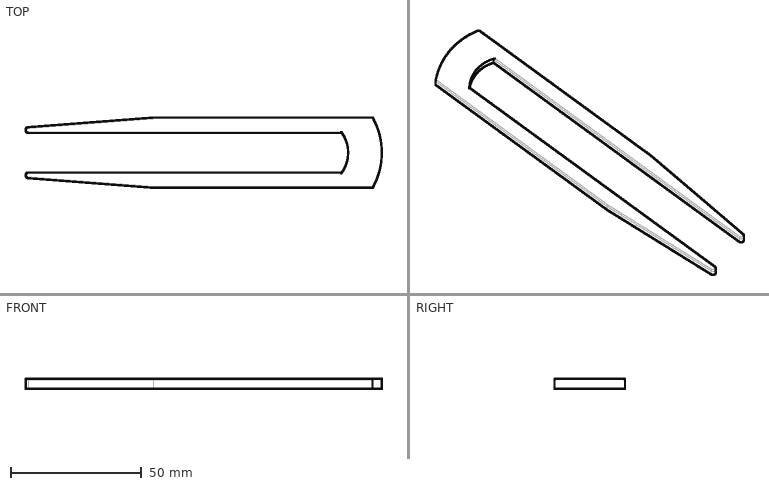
import cadquery as cq

length = 136.2
width = 27.0
thickness = 4.0

slot_width = 15.0
tip_width = 2.3
tip_round_length = 1.1
taper_length = 48.9

bridge_thickness = 13.0
outer_arc_rise = 3.5
inner_arc_rise = 2.3

edge_radius = 0.5

half_width = width / 2
half_slot = slot_width / 2
tip_outer_y = half_slot + tip_width
tip_middle_y = half_slot + tip_width / 2
outer_corner_x = length - outer_arc_rise
slot_end_x = length - bridge_thickness
inner_corner_x = slot_end_x - inner_arc_rise


def fork_blank():
    """Flat fork with tapered, round-ended prongs and an arched bridge."""
    return (
        cq.Workplane("XY")
        .moveTo(tip_round_length, -half_slot)
        .threePointArc((0, -tip_middle_y), (tip_round_length, -tip_outer_y))
        .lineTo(taper_length, -half_width)
        .lineTo(outer_corner_x, -half_width)
        .threePointArc((length, 0), (outer_corner_x, half_width))
        .lineTo(taper_length, half_width)
        .lineTo(tip_round_length, tip_outer_y)
        .threePointArc((0, tip_middle_y), (tip_round_length, half_slot))
        .lineTo(inner_corner_x, half_slot)
        .threePointArc((slot_end_x, 0), (inner_corner_x, -half_slot))
        .close()
        .extrude(thickness)
    )


def round_upper_edges(fork):
    """Round the top edges of the prongs, leaving both bridge arcs sharp."""
    bridge_arcs = cq.selectors.BoxSelector(
        (0, -half_slot / 2, 0),
        (length, half_slot / 2, 2 * thickness),
    )
    prong_edges = fork.faces(">Z").edges().edges(cq.selectors.InverseSelector(bridge_arcs))
    return prong_edges.fillet(edge_radius)


result = round_upper_edges(fork_blank())